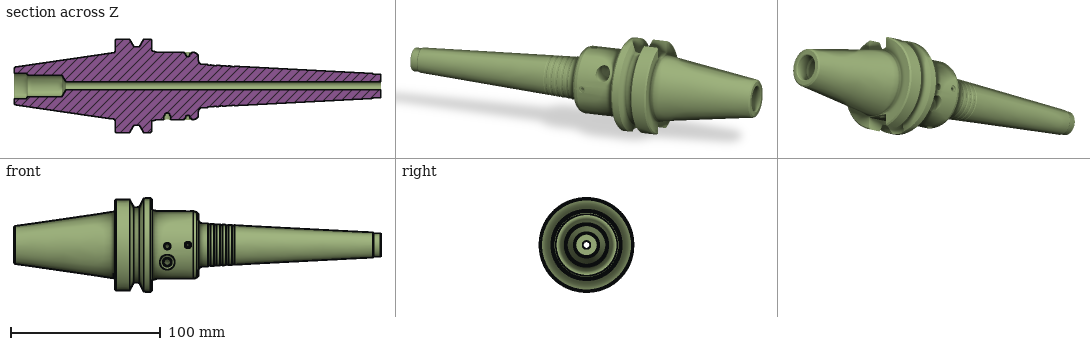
import cadquery as cq
import math


gauge_r = 22.225
taper_length = 65.4
taper_slope = 7 / 48
taper_end_r = gauge_r - taper_length * taper_slope
taper_chamfer = 0.9
relief_start_x = 1.0
relief_fillet = 1.0

flange_start_x = 2.0
flange_end_x = 27.0
flange_r = 31.5
flange_front_chamfer = 0.9
flange_back_chamfer = 1.2
groove_center_x = 16.6
groove_floor_r = 26.5
groove_floor_width = 3.6
groove_half_angle = 30.0

slot_width = 16.0
slot_floor_z = 22.5
slot_end_x = 23.0

collar_r = 23.6
body_start_x = 30.0
body_r = 22.75
body_cone_x = 54.6
body_cone_drop = 0.8
body_chamfer_x = 56.7
body_end_x = 58.1

neck_r = 14.6
neck_fillet = 2.4
neck_cone_x = 64.3
cone_end_x = 174.3
cone_end_r = 8.53
cone_half_angle = 3.0
tip_start_x = 175.0
tip_r = 8.0
tip_chamfer = 0.6
tip_end_x = 180.0

ring_count = 5
ring_first_x = 65.15
ring_pitch = 4.0
ring_width = 2.0
ring_floor_width = 1.2
ring_depth = 0.3

entry_chamfer = 0.5
entry_r = 8.5
entry_depth = 8.5
thread_r = 7.0
thread_chamfer = 0.9
thread_depth = 32.0
drill_half_angle = 59.0
coolant_r = 2.5

clamp_x = 37.1
clamp_z = 11.5
clamp_bore_d = 10.0
clamp_bore_depth = 4.5
clamp_step_d = 6.0
clamp_step_depth = 5.0
clamp_socket_d = 4.62
clamp_socket_depth = 7.0
clamp_back_depth = 10.0
pin_z = -0.8
pin_bore_d = 4.5
pin_bore_depth = 2.5
pin_socket_d = 3.46
pin_socket_depth = 4.0
set_screw_x = 50.9
set_screw_bore_d = 4.5
set_screw_recess = 1.0
set_screw_socket_d = 2.31
set_screw_socket_depth = 2.5
slot_screw_x = 7.0
cutter_overrun = 10.0


def revolve_x(profile):
    """Close a profile of (x, radius) points and turn it about the X axis."""
    return profile.close().revolve(360, (0, 0, 0), (1, 0, 0))


def make_body():
    groove_half = groove_floor_width / 2
    groove_run = (flange_r - groove_floor_r) * math.tan(math.radians(groove_half_angle))
    arc_offset = 1 - math.sqrt(0.5)
    relief_mid = (flange_start_x - relief_fillet * arc_offset, gauge_r + relief_fillet * arc_offset)
    neck_mid = (body_end_x + neck_fillet * arc_offset, neck_r + neck_fillet * arc_offset)
    profile = (
        cq.Workplane("XY")
        .moveTo(-taper_length, 0)
        .lineTo(-taper_length, taper_end_r - taper_chamfer)
        .lineTo(-taper_length + taper_chamfer, taper_end_r + taper_chamfer * taper_slope)
        .lineTo(0, gauge_r)
        .lineTo(relief_start_x, gauge_r)
        .threePointArc(relief_mid, (flange_start_x, gauge_r + relief_fillet))
        .lineTo(flange_start_x, flange_r - flange_front_chamfer)
        .lineTo(flange_start_x + flange_front_chamfer, flange_r)
        .lineTo(groove_center_x - groove_half - groove_run, flange_r)
        .lineTo(groove_center_x - groove_half, groove_floor_r)
        .lineTo(groove_center_x + groove_half, groove_floor_r)
        .lineTo(groove_center_x + groove_half + groove_run, flange_r)
        .lineTo(flange_end_x - flange_back_chamfer, flange_r)
        .lineTo(flange_end_x, flange_r - flange_back_chamfer)
        .lineTo(flange_end_x, collar_r)
        .lineTo(body_start_x, body_r)
        .lineTo(body_cone_x, body_r)
        .lineTo(body_chamfer_x, body_r - body_cone_drop)
        .lineTo(body_end_x, body_r - body_cone_drop - (body_end_x - body_chamfer_x))
        .lineTo(body_end_x, neck_r + neck_fillet)
        .threePointArc(neck_mid, (body_end_x + neck_fillet, neck_r))
        .lineTo(neck_cone_x, neck_r)
        .lineTo(neck_cone_x, cone_radius(neck_cone_x))
        .lineTo(cone_end_x, cone_end_r)
        .lineTo(tip_start_x, tip_r)
        .lineTo(tip_end_x - tip_chamfer, tip_r)
        .lineTo(tip_end_x, tip_r - tip_chamfer)
        .lineTo(tip_end_x, 0)
    )
    return revolve_x(profile)


def cone_radius(x):
    """Radius of the neck cone at x."""
    return cone_end_r + (cone_end_x - x) * math.tan(math.radians(cone_half_angle))


def make_ring_groove(x):
    half_top = ring_width / 2
    half_floor = ring_floor_width / 2
    profile = (
        cq.Workplane("XY")
        .moveTo(x - half_top, body_r)
        .lineTo(x - half_top, cone_radius(x - half_top))
        .lineTo(x - half_floor, cone_radius(x - half_floor) - ring_depth)
        .lineTo(x + half_floor, cone_radius(x + half_floor) - ring_depth)
        .lineTo(x + half_top, cone_radius(x + half_top))
        .lineTo(x + half_top, body_r)
    )
    return revolve_x(profile)


def make_bore():
    start_x = -taper_length
    cone_length = (thread_r - coolant_r) / math.tan(math.radians(drill_half_angle))
    profile = (
        cq.Workplane("XY")
        .moveTo(start_x, 0)
        .lineTo(start_x, entry_r + entry_chamfer)
        .lineTo(start_x + entry_chamfer, entry_r)
        .lineTo(start_x + entry_depth, entry_r)
        .lineTo(start_x + entry_depth, thread_r + thread_chamfer)
        .lineTo(start_x + entry_depth + thread_chamfer, thread_r)
        .lineTo(start_x + thread_depth, thread_r)
        .lineTo(start_x + thread_depth + cone_length, coolant_r)
        .lineTo(tip_end_x, coolant_r)
        .lineTo(tip_end_x, 0)
    )
    return revolve_x(profile)


def make_drive_slot(side):
    """Slot open toward the taper with a full-round end; side is +1 (top) or -1 (bottom)."""
    end_center_x = slot_end_x - slot_width / 2
    height = flange_r - slot_floor_z
    straight = cq.Workplane("XY").box(end_center_x, slot_width, height, centered=(False, True, False))
    round_end = cq.Workplane("XY").center(end_center_x, 0).circle(slot_width / 2).extrude(height)
    slot = straight.union(round_end)
    bottom = slot_floor_z if side > 0 else -flange_r
    return slot.translate((0, 0, bottom))


def stepped_hole(surface_point, inward, steps):
    """Cutter for a stepped hole; each step is (diameter, depth), the last ends in a drill point."""
    start = surface_point - inward * cutter_overrun
    hole = None
    for diameter, depth in steps:
        cylinder = cq.Solid.makeCylinder(diameter / 2, depth + cutter_overrun, start, inward)
        hole = cylinder if hole is None else hole.fuse(cylinder)
    last_diameter, last_depth = steps[-1]
    point_length = last_diameter / 2 / math.tan(math.radians(drill_half_angle))
    point_start = surface_point + inward * last_depth
    return hole.fuse(cq.Solid.makeCone(last_diameter / 2, 0, point_length, point_start, inward))


def cut_set_screws(part):
    """Four screws around the body and one in the floor of each drive slot."""
    steps = [
        (set_screw_bore_d, set_screw_recess),
        (set_screw_socket_d, set_screw_socket_depth),
    ]
    for angle in (0, 90, 180, 270):
        outward = cq.Vector(0, math.cos(math.radians(angle)), math.sin(math.radians(angle)))
        surface_point = cq.Vector(set_screw_x, 0, 0) + outward * body_r
        part = part.cut(stepped_hole(surface_point, outward * -1, steps))
    for side in (1, -1):
        surface_point = cq.Vector(slot_screw_x, 0, side * slot_floor_z)
        part = part.cut(stepped_hole(surface_point, cq.Vector(0, 0, -side), steps))
    return part


def body_surface_point(side, z):
    """Point on the body cylinder at clamp_x, on the +Y (side 1) or -Y (side -1) half."""
    return cq.Vector(clamp_x, side * math.sqrt(body_r**2 - z**2), z)


def cut_clamp_holes(part):
    """Clamp screw and pin entering from -Y, and the clamp bore entering from +Y."""
    toward_back = cq.Vector(0, 1, 0)
    toward_front = cq.Vector(0, -1, 0)
    screw_steps = [
        (clamp_bore_d, clamp_bore_depth),
        (clamp_step_d, clamp_step_depth),
        (clamp_socket_d, clamp_socket_depth),
    ]
    pin_steps = [(pin_bore_d, pin_bore_depth), (pin_socket_d, pin_socket_depth)]
    back_steps = [(clamp_bore_d, clamp_back_depth)]
    part = part.cut(stepped_hole(body_surface_point(-1, -clamp_z), toward_back, screw_steps))
    part = part.cut(stepped_hole(body_surface_point(-1, pin_z), toward_back, pin_steps))
    return part.cut(stepped_hole(body_surface_point(1, clamp_z), toward_front, back_steps))


result = make_body()
for index in range(ring_count):
    result = result.cut(make_ring_groove(ring_first_x + index * ring_pitch))
result = result.cut(make_bore())
for slot_side in (1, -1):
    result = result.cut(make_drive_slot(slot_side))
result = cut_set_screws(result)
result = cut_clamp_holes(result)